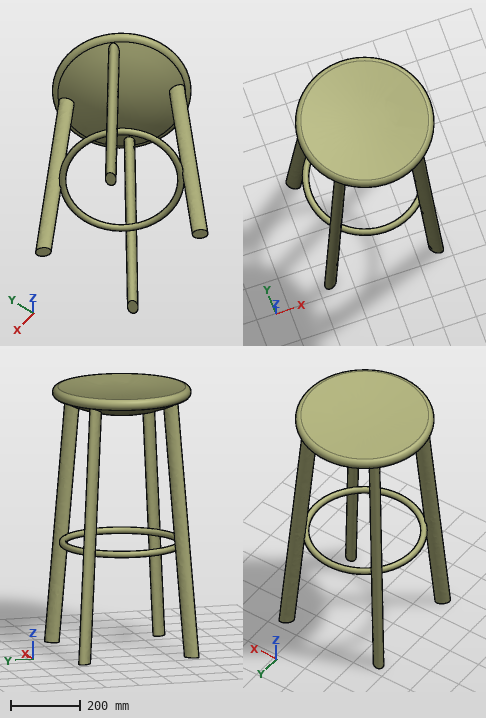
import cadquery as cq
import math

stool_height = 773.0

seat_radius = 199.9
rim_thickness = 32.0
dish_radius = 184.0
dish_depth = 11.0
belly_depth = 46.0
rim_round = rim_thickness / 2
rim_bottom = stool_height - rim_thickness

leg_count = 4
first_leg_angle = 45.0
leg_radial_width = 46.0
leg_thickness = 31.0
foot_distance = 228.0
leg_top_distance = 159.0

ring_outer_radius = 180.0
ring_tube_radius = 9.7
ring_height = 315.0
ring_centre_radius = ring_outer_radius - ring_tube_radius


def make_seat():
    """Revolve half of the seat section about the stool axis."""
    rim_centre_radius = seat_radius - rim_round
    dish_sphere_radius = (dish_radius**2 + dish_depth**2) / (2 * dish_depth)
    belly_sphere_radius = (rim_centre_radius**2 + belly_depth**2) / (2 * belly_depth)
    dish_mid_radius = dish_radius / 2
    dish_mid_rise = dish_sphere_radius - math.sqrt(dish_sphere_radius**2 - dish_mid_radius**2)
    belly_mid_radius = rim_centre_radius / 2
    belly_mid_rise = belly_sphere_radius - math.sqrt(belly_sphere_radius**2 - belly_mid_radius**2)
    dish_bottom = stool_height - dish_depth
    belly_bottom = rim_bottom - belly_depth
    return (
        cq.Workplane("XZ")
        .moveTo(0, belly_bottom)
        .threePointArc((belly_mid_radius, belly_bottom + belly_mid_rise), (rim_centre_radius, rim_bottom))
        .threePointArc((seat_radius, rim_bottom + rim_round), (dish_radius, stool_height))
        .threePointArc((dish_mid_radius, dish_bottom + dish_mid_rise), (0, dish_bottom))
        .close()
        .revolve(360, (0, 0, 0), (0, 1, 0))
    )


def make_leg(angle):
    """Loft one oval leg from the floor up to the rim, then turn it to its diagonal."""
    lean = foot_distance - leg_top_distance
    return (
        cq.Workplane("XY")
        .center(foot_distance, 0)
        .ellipse(leg_radial_width / 2, leg_thickness / 2)
        .workplane(offset=rim_bottom)
        .center(-lean, 0)
        .ellipse(leg_radial_width / 2, leg_thickness / 2)
        .loft(ruled=True)
        .rotate((0, 0, 0), (0, 0, 1), angle)
    )


def make_frame(seat):
    """Join the legs to the footrest ring and trim their tops to the seat belly."""
    ring = cq.Solid.makeTorus(ring_centre_radius, ring_tube_radius, cq.Vector(0, 0, ring_height))
    frame = cq.Workplane(ring)
    for index in range(leg_count):
        frame = frame.union(make_leg(first_leg_angle + index * 360 / leg_count))
    return frame.cut(seat)


seat = make_seat()
frame = make_frame(seat)

result = cq.Compound.makeCompound([*seat.vals(), *frame.solids().vals()])